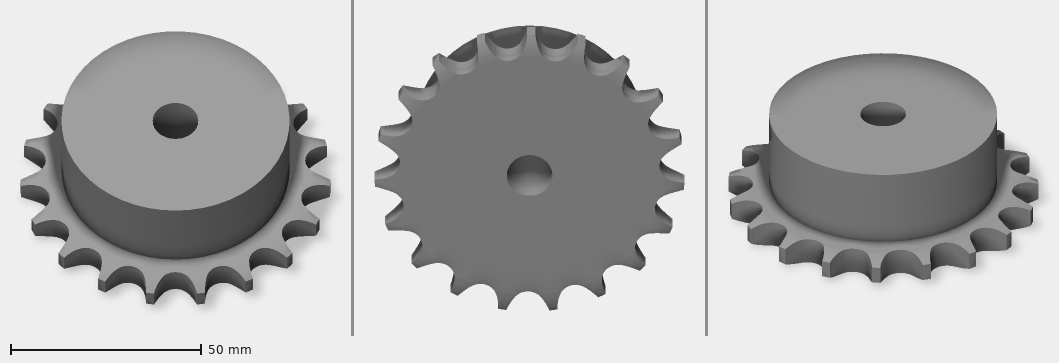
import cadquery as cq
import math

overall_width = 81.55
overall_height = 28.0
plate_thickness = 7.2
hub_diameter = 60.0
bore_diameter = 12.0

tooth_count = 19
pitch_diameter = 77.15
seat_radius = 4.3
working_radius = 11.1
flank_flat = 1.1
tip_width = 2.2
seat_angle = math.radians(35 + 60 / tooth_count)
working_angle = math.radians(18 - 56 / tooth_count)

flat_face_radius = 35.2
side_rounding_radius = 13.05

tooth_spacing = 2 * math.pi / tooth_count
tip_half_angle = tip_width / overall_width
tip_radius = overall_width / 2 / math.cos(tooth_spacing / 4 - tip_half_angle)


def offset(point, distance, direction):
    """Point moved by a distance along a unit direction."""
    return (point[0] + distance * direction[0], point[1] + distance * direction[1])


def flank_normal(angle):
    """Unit direction (radial, tangential) leaning inwards by an angle from the tangential one."""
    return (-math.sin(angle), math.cos(angle))


def half_gap_points():
    """Points from the middle of a tooth gap to a tip corner, as (radial, tangential)."""
    end_angle = seat_angle - working_angle
    flank_direction = (math.cos(end_angle), math.sin(end_angle))
    end_normal = flank_normal(end_angle)

    seat_center = (pitch_diameter / 2, 0.0)
    root = (pitch_diameter / 2 - seat_radius, 0.0)
    seat_middle = offset(seat_center, seat_radius, flank_normal((seat_angle + math.pi / 2) / 2))
    seat_end = offset(seat_center, seat_radius, flank_normal(seat_angle))

    working_center = offset(seat_end, -working_radius, flank_normal(seat_angle))
    working_middle = offset(working_center, working_radius, flank_normal(seat_angle - working_angle / 2))
    working_end = offset(working_center, working_radius, end_normal)
    flat_end = offset(working_end, flank_flat, flank_direction)

    corner_angle = tooth_spacing / 2 - tip_half_angle
    corner = (tip_radius * math.cos(corner_angle), tip_radius * math.sin(corner_angle))
    chord = (corner[0] - flat_end[0], corner[1] - flat_end[1])
    chord_length = math.hypot(*chord)
    chord_rise = chord[0] * end_normal[0] + chord[1] * end_normal[1]
    topping_radius = chord_length**2 / (2 * chord_rise)
    topping_center = offset(flat_end, topping_radius, end_normal)
    topping_sweep = 2 * math.asin(chord_length / (2 * topping_radius))
    topping_normal = flank_normal(end_angle + topping_sweep / 2)
    topping_middle = offset(topping_center, -topping_radius, topping_normal)

    return [root, seat_middle, seat_end, working_middle, working_end, flat_end, topping_middle, corner]


def rotated(point, angle):
    """Point turned about the sprocket axis."""
    x, y = point
    return (x * math.cos(angle) - y * math.sin(angle), x * math.sin(angle) + y * math.cos(angle))


def toothed_outline():
    """Closed outline of all teeth, with a gap centred on +Y."""
    half_gap = half_gap_points()
    mirrored_half = [(radial, -tangential) for radial, tangential in half_gap]
    tip_middle = rotated((tip_radius, 0.0), tooth_spacing / 2)
    outline = cq.Workplane("XY").moveTo(*rotated(mirrored_half[-1], math.pi / 2))
    for gap in range(tooth_count):
        angle = math.pi / 2 + gap * tooth_spacing

        root, seat_middle, seat_end, working_middle, working_end, flat_end, topping_middle, _ = (
            rotated(point, angle) for point in mirrored_half
        )
        outline = (
            outline.threePointArc(topping_middle, flat_end)
            .lineTo(*working_end)
            .threePointArc(working_middle, seat_end)
            .threePointArc(seat_middle, root)
        )

        _, seat_middle, seat_end, working_middle, working_end, flat_end, topping_middle, corner = (
            rotated(point, angle) for point in half_gap
        )
        next_corner = rotated(mirrored_half[-1], angle + tooth_spacing)
        outline = (
            outline.threePointArc(seat_middle, seat_end)
            .threePointArc(working_middle, working_end)
            .lineTo(*flat_end)
            .threePointArc(topping_middle, corner)
            .threePointArc(rotated(tip_middle, angle), next_corner)
        )
    return outline.close()


def rounded_disc():
    """Disc through the tooth tips whose faces curve tangentially away near the rim."""

    def face_drop(radius):
        reach = radius - flat_face_radius
        return side_rounding_radius - math.sqrt(side_rounding_radius**2 - reach**2)

    middle_radius = (flat_face_radius + tip_radius) / 2
    middle_drop = face_drop(middle_radius)
    tip_drop = face_drop(tip_radius)
    return (
        cq.Workplane("XZ")
        .lineTo(flat_face_radius, 0)
        .threePointArc((middle_radius, middle_drop), (tip_radius, tip_drop))
        .lineTo(tip_radius, plate_thickness - tip_drop)
        .threePointArc((middle_radius, plate_thickness - middle_drop), (flat_face_radius, plate_thickness))
        .lineTo(0, plate_thickness)
        .close()
        .revolve(360, (0, 0, 0), (0, 1, 0))
    )


teeth = toothed_outline().extrude(plate_thickness).intersect(rounded_disc())
hub = cq.Workplane("XY").circle(hub_diameter / 2).extrude(overall_height)
bore = cq.Workplane("XY").circle(bore_diameter / 2).extrude(overall_height)

result = teeth.union(hub).cut(bore)